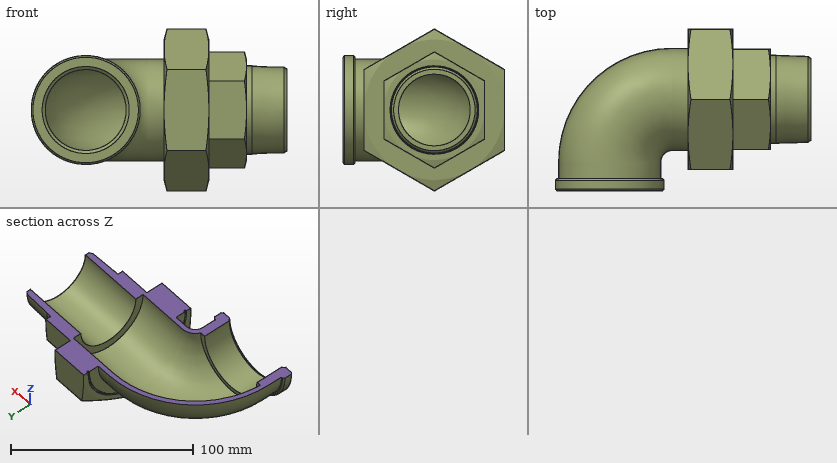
import cadquery as cq
import math


tube_radius = 28.0
bend_radius = 34.2
passage_radius = 24.8

inlet_end = 50.1
ring_radius = 29.9
ring_width = 6.7
ring_chamfer = 1.0

socket_radius = 22.2
socket_depth = 19.4
mouth_radius = 23.9
mouth_chamfer = mouth_radius - socket_radius

HEX_SIDES = 6

corner_angle = 15.0

nut_start = 43.0
nut_width = 24.5
nut_flats = 76.9
groove_outer_radius = 35.4
groove_inner_radius = 34.4
groove_depth = 1.0

hex_width = 20.6
hex_flats = 55.1

overall_length = 140.3
outlet_end = overall_length - ring_radius
neck_radius = 24.3
neck_length = 3.0
thread_root_radius = 24.1
thread_tip_radius = 23.6
tip_chamfer_radius = 22.3
tip_chamfer_length = 1.8
outlet_bore_radius = 19.6

nut_end = nut_start + nut_width
hex_end = nut_end + hex_width
neck_end = hex_end + neck_length


def disc_along_x(radius, start, end):
    """Cylinder on the outlet axis between two X positions."""
    return cq.Workplane("YZ", origin=(start, 0, 0)).circle(radius).extrude(end - start)


def turned_along_x(profile):
    """Solid of revolution about the outlet axis from (x, radius) points."""
    return cq.Workplane("XY").polyline(profile).close().revolve(360, (0, 0, 0), (1, 0, 0))


def elbow_rod(radius, outlet_x):
    """Round rod from the inlet mouth, through the bend, to outlet_x."""
    path = (
        cq.Workplane("XY")
        .moveTo(0, -inlet_end)
        .lineTo(0, -bend_radius)
        .radiusArc((bend_radius, 0), bend_radius)
        .lineTo(outlet_x, 0)
    )
    return cq.Workplane("XZ", origin=(0, -inlet_end, 0)).circle(radius).sweep(path)


def hexagon(flats, start, end):
    """Hexagon on the outlet axis, corners up and down, with its corners turned off at both ends."""
    flat_radius = flats / 2
    corner_radius = flat_radius / math.cos(math.pi / HEX_SIDES)
    chamfer_length = (corner_radius - flat_radius) * math.tan(math.radians(corner_angle))
    prism = (
        cq.Workplane("YZ", origin=(start, 0, 0))
        .polygon(HEX_SIDES, 2 * corner_radius)
        .extrude(end - start)
        .rotate((0, 0, 0), (1, 0, 0), 90)
    )
    envelope = turned_along_x([
        (start, 0),
        (start, flat_radius),
        (start + chamfer_length, corner_radius),
        (end - chamfer_length, corner_radius),
        (end, flat_radius),
        (end, 0),
    ])
    return prism.intersect(envelope)


def union_nut():
    """Large hexagon with the groove in its inlet-side face."""
    groove = disc_along_x(groove_outer_radius, nut_start, nut_start + groove_depth).cut(
        disc_along_x(groove_inner_radius, nut_start, nut_start + groove_depth)
    )
    return hexagon(nut_flats, nut_start, nut_end).cut(groove)


def outlet_thread():
    """Short neck, tapered thread body and chamfered tip."""
    return turned_along_x([
        (hex_end, 0),
        (hex_end, neck_radius),
        (neck_end, neck_radius),
        (neck_end, thread_root_radius),
        (outlet_end - tip_chamfer_length, thread_tip_radius),
        (outlet_end, tip_chamfer_radius),
        (outlet_end, 0),
    ])


def inlet_disc(radius, depth):
    """Cylinder on the inlet axis, from the mouth inwards by the given depth."""
    return cq.Workplane("XZ", origin=(0, depth - inlet_end, 0)).circle(radius).extrude(depth)


def inlet_ring():
    """Chamfered ring around the inlet mouth."""
    return inlet_disc(ring_radius, ring_width).edges().chamfer(ring_chamfer)


def inlet_socket():
    """Straight bore of the inlet with its countersunk mouth, as a solid to cut away."""
    countersink = (
        cq.Workplane("XZ", origin=(0, mouth_chamfer - inlet_end, 0))
        .circle(socket_radius)
        .workplane(offset=mouth_chamfer)
        .circle(mouth_radius)
        .loft()
    )
    return inlet_disc(socket_radius, socket_depth).union(countersink)


def curved_passage():
    """Hollow of the bend, stopped at the inner end of the socket, as a solid to cut away."""
    return elbow_rod(passage_radius, nut_end).cut(inlet_disc(tube_radius, socket_depth))


outlet_hexagon = hexagon(hex_flats, nut_start + nut_width / 2, hex_end)

body = (
    elbow_rod(tube_radius, nut_end)
    .union(inlet_ring())
    .union(union_nut())
    .union(outlet_hexagon)
    .union(outlet_thread())
)

result = (
    body
    .cut(inlet_socket())
    .cut(curved_passage())
    .cut(disc_along_x(outlet_bore_radius, nut_end, outlet_end))
)